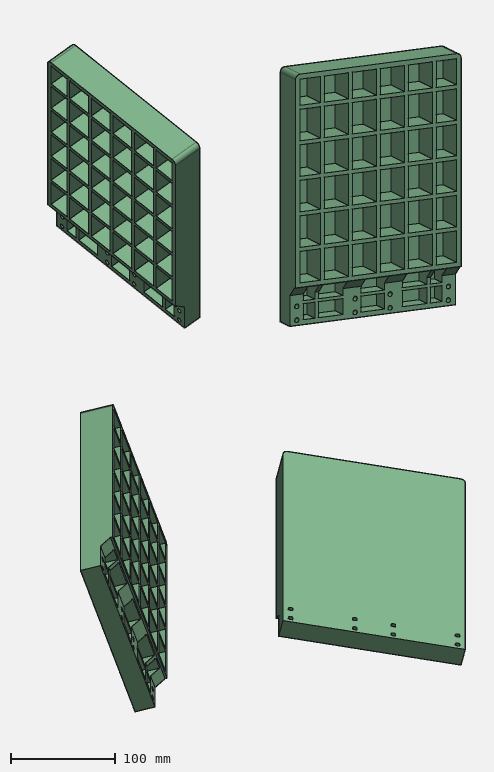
import cadquery as cq

width = 177.5
depth = 32.0
height = 251.0
corner_radius = 5.0

border = 5.0
sill = 4.75
rib = 4.0
back_skin = 4.0
floor_y = depth - back_skin

foot_depth = 20.0
foot_face_y = depth - foot_depth
main_bottom = 40.5
ledge = 2.0
slope_drop = foot_face_y - ledge

inner_columns = 4
inner_cell_width = 26.0
tall_rows = 5
tall_cell_height = 31.0

foot_pocket_height = 15.75
foot_rib = 3.0
foot_end_margin = 14.5
centre_pocket_width = 25.0

hole_diameter = 4.5
hole_offsets = (18.75, 81.25)
hole_heights = (5.5, 19.0)


def pocket(x_span, z_span):
    """Box from the open face to the back skin."""
    x_low, x_high = x_span
    z_low, z_high = z_span
    size = (x_high - x_low, floor_y, z_high - z_low)
    return cq.Workplane("XY").box(*size, centered=False).translate((x_low, 0, z_low))


def cut_pockets(part, x_spans, z_spans):
    for x_span in x_spans:
        for z_span in z_spans:
            part = part.cut(pocket(x_span, z_span))
    return part


def make_body():
    """Stepped side profile swept across the width, with rounded top corners."""
    profile = [
        (0, height),
        (0, main_bottom),
        (ledge, main_bottom),
        (foot_face_y, main_bottom - slope_drop),
        (foot_face_y, 0),
        (depth, 0),
        (depth, height),
    ]
    body = cq.Workplane("YZ").polyline(profile).close().extrude(width)
    return body.edges("|Y and >Z").fillet(corner_radius)


def column_spans():
    """X limits of the columns: equal inner cells, outer cells fill up to the frame."""
    pitch = inner_cell_width + rib
    first_inner = (width - inner_columns * pitch + rib) / 2
    inner = [
        (first_inner + i * pitch, first_inner + i * pitch + inner_cell_width)
        for i in range(inner_columns)
    ]
    left = (border, first_inner - rib)
    right = (width - left[1], width - left[0])
    return [left, *inner, right]


def row_spans():
    """Z limits of the rows: equal tall cells, the top row fills up to the frame."""
    pitch = tall_cell_height + rib
    first = main_bottom + sill
    tall = [(first + i * pitch, first + i * pitch + tall_cell_height) for i in range(tall_rows)]
    top = (first + tall_rows * pitch, height - border)
    return [*tall, top]


def foot_column_spans(columns):
    """Trimmed end columns, the outer inner columns, and one central pocket."""
    left_end = (foot_end_margin, columns[0][1])
    right_end = (columns[-1][0], width - foot_end_margin)
    centre = ((width - centre_pocket_width) / 2, (width + centre_pocket_width) / 2)
    return [left_end, columns[1], centre, columns[-2], right_end]


def foot_row_spans():
    """Lower row above the frame, upper row cutting into the slope."""
    upper_start = border + foot_pocket_height + foot_rib
    return [
        (border, border + foot_pocket_height),
        (upper_start, upper_start + foot_pocket_height),
    ]


def cut_screw_holes(part):
    for offset in hole_offsets:
        for x in (width / 2 - offset, width / 2 + offset):
            for z in hole_heights:
                drill = cq.Workplane("XZ").center(x, z).circle(hole_diameter / 2).extrude(-depth)
                part = part.cut(drill)
    return part


columns = column_spans()
result = make_body()
result = cut_pockets(result, columns, row_spans())
result = cut_pockets(result, foot_column_spans(columns), foot_row_spans())
result = cut_screw_holes(result)